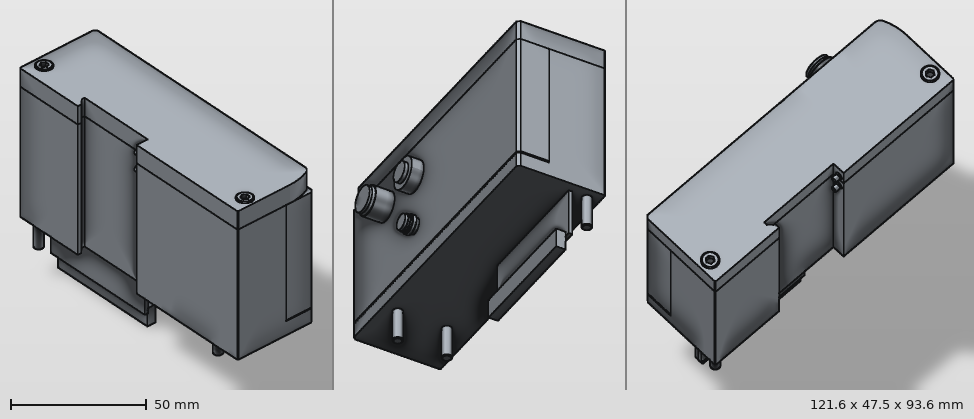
import cadquery as cq
import math

LENGTH = 121.6
DEPTH = 37.3
HEIGHT = 67.2
COVER_THICKNESS = 8.3
COVER_Z = HEIGHT - COVER_THICKNESS
BACK_CHAMFER_X = 1.0
BACK_CHAMFER_Y = 1.2
FRONT_CHAMFER_X = 0.3
FRONT_CHAMFER_Y = 0.6

RAIL_LEFT = 32.5
RAIL_RIGHT = 65.3
RAIL_DEPTH = 5.4
HOOK_UNDERCUT = 2.4
HOOK_LIP = 1.6

COVER_CORNER_RADIUS = 24.0
COVER_CORNER_DEPTH = 11.7
COVER_CORNER_BLEND = 3.0

PANEL_FRONT_Y = 23.9
PANEL_LEDGE_Z = 6.4
PANEL_EDGE_CHAMFER = 0.4

CONNECTOR_Z = HEIGHT - 22.6
SOCKET_X = 75.8
SOCKET_RADIUS = 6.65
SOCKET_HEIGHT = 5.1
SOCKET_FLAT_DISTANCE = 6.5
SOCKET_INSERT_RADIUS = 4.15
SOCKET_INSERT_HEIGHT = 6.7
PLUG_X = 96.8
SMALL_PLUG_X = SOCKET_X
SMALL_PLUG_Z = HEIGHT - 45.5
PLUG_STEPS = [(6.15, 6.15, 7.9), (5.75, 5.4, 9.1), (5.35, 5.35, 10.2)]
SMALL_PLUG_STEPS = [
    (3.3, 3.3, 1.5),
    (3.95, 3.95, 2.9),
    (3.3, 3.3, 3.8),
    (3.5, 3.5, 4.7),
    (3.2, 3.2, 5.9),
]

PIN_RADIUS = 2.0
PIN_LENGTH = 13.7
PIN_CHAMFER = 0.4
PIN_POSITIONS = [(4.85, 5.1), (99.1, 10.2), (99.1, 31.1)]

BOARD_LEFT = 4.0
BOARD_RIGHT = 56.6
BOARD_FRONT_Y = 11.7
BOARD_THICKNESS = 1.6
BOARD_DROP = 19.8
EDGE_CONNECTOR_LEFT = 6.3
EDGE_CONNECTOR_RIGHT = 56.2
EDGE_CONNECTOR_DEPTH = 4.0
EDGE_CONNECTOR_TOP_Z = -17.8
EDGE_CONNECTOR_BOTTOM_Z = -26.0

BUTTON_Y = 2.4
BUTTON_RADIUS = 1.2
BUTTON_LENGTH = 2.7
BUTTON_ROOT_RADIUS = 1.6
BUTTON_CONE_LENGTH = 0.6
COVER_BUTTON_Z = HEIGHT - 5.5
HOUSING_BUTTON_Z = HEIGHT - 13.1

SCREW_INSET_X = 4.85
SCREW_Y = 7.8
SCREW_POSITIONS = [(SCREW_INSET_X, SCREW_Y), (LENGTH - SCREW_INSET_X, SCREW_Y)]
SCREW_HEAD_RADIUS = 3.5
SCREW_HEAD_HEIGHT = 4.0
SCREW_PROTRUSION = 0.4
SCREW_RIM_CHAMFER = 0.5
SCREW_SHANK_RADIUS = 2.0
SCREW_LENGTH = 20.0
SCREW_SOCKET_DIAMETER = 3.5
SCREW_SOCKET_DEPTH = 2.0
SCREW_DRILL_TIP_DEPTH = 0.8
SCREW_TOP_Z = HEIGHT + SCREW_PROTRUSION


def box(x0, x1, y0, y1, z0, z1):
    """Axis-aligned block between two corners."""
    return cq.Workplane("XY").box(x1 - x0, y1 - y0, z1 - z0, centered=False).translate((x0, y0, z0))


def front_and_right_outline(z):
    """Front and right side of the block outline, with the hooked rail channel."""
    hook_top_y = HOOK_LIP + HOOK_UNDERCUT
    return (
        cq.Workplane("XY", origin=(0, 0, z))
        .moveTo(0, FRONT_CHAMFER_Y)
        .lineTo(FRONT_CHAMFER_X, 0)
        .lineTo(RAIL_LEFT, 0)
        .lineTo(RAIL_LEFT, HOOK_LIP)
        .lineTo(RAIL_LEFT - HOOK_UNDERCUT, hook_top_y)
        .lineTo(RAIL_LEFT - HOOK_UNDERCUT, RAIL_DEPTH)
        .lineTo(RAIL_RIGHT, RAIL_DEPTH)
        .lineTo(RAIL_RIGHT, 0)
        .lineTo(LENGTH - FRONT_CHAMFER_X, 0)
        .lineTo(LENGTH, FRONT_CHAMFER_Y)
    )


def base_block():
    """Block below the cover, later divided into housing and panel."""
    return (
        front_and_right_outline(0)
        .lineTo(LENGTH, DEPTH - BACK_CHAMFER_Y)
        .lineTo(LENGTH - BACK_CHAMFER_X, DEPTH)
        .lineTo(BACK_CHAMFER_X, DEPTH)
        .lineTo(0, DEPTH - BACK_CHAMFER_Y)
        .close()
        .extrude(COVER_Z)
    )


def stepped_post(x, z, steps):
    """Round post standing on the panel, turned about its Y axis."""
    sketch = cq.Workplane("XY").moveTo(0, DEPTH)
    for start_radius, end_radius, end_height in steps:
        sketch = sketch.hLineTo(start_radius).lineTo(end_radius, DEPTH + end_height)
    turned = sketch.hLineTo(0).close().revolve(360, (0, 0, 0), (0, 1, 0))
    return turned.translate((x, 0, z))


def socket():
    """Wide socket ring with a flat on each side and a narrower insert."""
    ring = stepped_post(SOCKET_X, CONNECTOR_Z, [(SOCKET_RADIUS, SOCKET_RADIUS, SOCKET_HEIGHT)])
    flats = box(
        SOCKET_X - SOCKET_FLAT_DISTANCE,
        SOCKET_X + SOCKET_FLAT_DISTANCE,
        DEPTH,
        DEPTH + SOCKET_HEIGHT,
        CONNECTOR_Z - SOCKET_RADIUS,
        CONNECTOR_Z + SOCKET_RADIUS,
    )
    insert_step = (SOCKET_INSERT_RADIUS, SOCKET_INSERT_RADIUS, SOCKET_INSERT_HEIGHT)
    return ring.intersect(flats).union(stepped_post(SOCKET_X, CONNECTOR_Z, [insert_step]))


def button(z):
    """Contact button reaching from the channel wall towards -X, with a conical root."""
    wall = cq.Workplane("YZ", origin=(RAIL_RIGHT, BUTTON_Y, z))
    stem = wall.circle(BUTTON_RADIUS).extrude(-BUTTON_LENGTH)
    root = cq.Solid.makeCone(
        BUTTON_ROOT_RADIUS,
        BUTTON_RADIUS,
        BUTTON_CONE_LENGTH,
        pnt=cq.Vector(RAIL_RIGHT, BUTTON_Y, z),
        dir=cq.Vector(-1, 0, 0),
    )
    return stem.union(cq.Workplane(root))


def screw_envelope(x, y):
    """Solid head and shank of one screw, which is also the shape of its hole."""
    top = cq.Workplane("XY", origin=(x, y, SCREW_TOP_Z))
    head = top.circle(SCREW_HEAD_RADIUS).extrude(-SCREW_HEAD_HEIGHT)
    shank = top.circle(SCREW_SHANK_RADIUS).extrude(-SCREW_LENGTH)
    return head.union(shank)


def make_screw(x, y):
    """Screw with a chamfered rim and a hexagon socket ending in a conical drill tip."""
    socket_floor_z = SCREW_TOP_Z - SCREW_SOCKET_DEPTH
    hexagon = (
        cq.Workplane("XY", origin=(x, y, socket_floor_z))
        .polygon(6, SCREW_SOCKET_DIAMETER)
        .extrude(SCREW_SOCKET_DEPTH)
    )
    hexagon_inner_radius = SCREW_SOCKET_DIAMETER / 2 * math.cos(math.pi / 6)
    drill_tip = cq.Solid.makeCone(
        hexagon_inner_radius,
        0,
        SCREW_DRILL_TIP_DEPTH,
        pnt=cq.Vector(x, y, socket_floor_z),
        dir=cq.Vector(0, 0, -1),
    )
    screw = screw_envelope(x, y).faces(">Z").edges().chamfer(SCREW_RIM_CHAMFER)
    return screw.cut(hexagon).cut(cq.Workplane(drill_tip))


def drill_screw_holes(body):
    """Cut the stepped holes that receive the screws."""
    for x, y in SCREW_POSITIONS:
        body = body.cut(screw_envelope(x, y))
    return body


def make_cover():
    """Top plate whose far back corner is swept round by a large arc."""
    arc_start_y = DEPTH - COVER_CORNER_DEPTH
    arc_centre_x = LENGTH - COVER_CORNER_RADIUS

    def arc_point(angle):
        return (
            arc_centre_x + COVER_CORNER_RADIUS * math.cos(angle),
            arc_start_y + COVER_CORNER_RADIUS * math.sin(angle),
        )

    end_angle = math.asin(COVER_CORNER_DEPTH / COVER_CORNER_RADIUS)
    plate = (
        front_and_right_outline(COVER_Z)
        .lineTo(LENGTH, arc_start_y)
        .threePointArc(arc_point(end_angle / 2), arc_point(end_angle))
        .lineTo(BACK_CHAMFER_X, DEPTH)
        .lineTo(0, DEPTH - BACK_CHAMFER_Y)
        .close()
        .extrude(COVER_THICKNESS)
    )
    plate = plate.edges("|Z and >Y").edges(">X").fillet(COVER_CORNER_BLEND)
    return drill_screw_holes(plate.union(button(COVER_BUTTON_Z)))


def make_panel():
    """Back panel with a chamfered lower outer edge, carrying the three connectors."""
    region = box(0, LENGTH, PANEL_FRONT_Y, DEPTH, PANEL_LEDGE_Z, COVER_Z)
    panel = base_block().intersect(region)
    panel = panel.faces("<Z").edges("not <Y").chamfer(PANEL_EDGE_CHAMFER)
    panel = panel.union(socket())
    panel = panel.union(stepped_post(PLUG_X, CONNECTOR_Z, PLUG_STEPS))
    return panel.union(stepped_post(SMALL_PLUG_X, SMALL_PLUG_Z, SMALL_PLUG_STEPS))


def board():
    """Circuit board hanging below the housing, with the edge connector on its back."""
    board_back_y = BOARD_FRONT_Y + BOARD_THICKNESS
    sheet = box(BOARD_LEFT, BOARD_RIGHT, BOARD_FRONT_Y, board_back_y, -BOARD_DROP, 0)
    edge_connector = box(
        EDGE_CONNECTOR_LEFT,
        EDGE_CONNECTOR_RIGHT,
        board_back_y,
        board_back_y + EDGE_CONNECTOR_DEPTH,
        EDGE_CONNECTOR_BOTTOM_Z,
        EDGE_CONNECTOR_TOP_Z,
    )
    return sheet.union(edge_connector)


def make_housing():
    """Main block with the panel recess, pins, circuit board and lower contact button."""
    recess = box(0, LENGTH, PANEL_FRONT_Y, DEPTH, PANEL_LEDGE_Z, COVER_Z)
    housing = base_block().cut(recess)
    for x, y in PIN_POSITIONS:
        pin = cq.Workplane("XY", origin=(x, y, 0)).circle(PIN_RADIUS).extrude(-PIN_LENGTH)
        housing = housing.union(pin.faces("<Z").chamfer(PIN_CHAMFER))
    housing = housing.union(board()).union(button(HOUSING_BUTTON_Z))
    return drill_screw_holes(housing)


housing = make_housing()
cover = make_cover()
panel = make_panel()
screws = [make_screw(x, y) for x, y in SCREW_POSITIONS]

result = cq.Compound.makeCompound(
    [
        housing.solids().val(),
        cover.solids().val(),
        panel.solids().val(),
        *[screw.solids().val() for screw in screws],
    ]
)